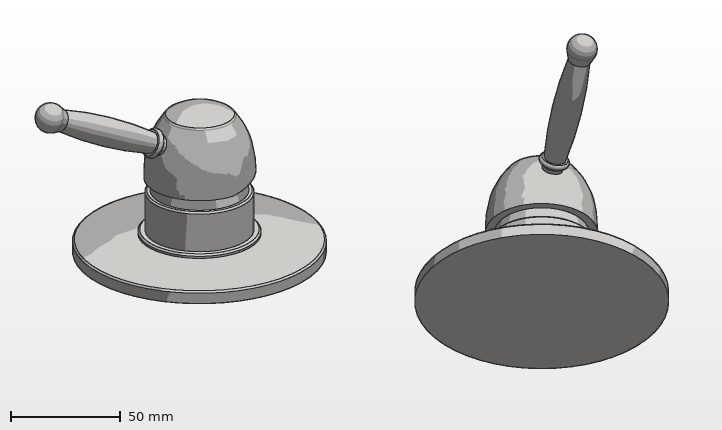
import cadquery as cq
import math

OVERALL_LENGTH = 145.9
OVERALL_HEIGHT = 93.6

PLATE_RADIUS = 116.0 / 2
PLATE_WALL = 5.3
PLATE_RIM_BEVEL = 0.9
PLATE_CROWN = 9.2

FLANGE_RADIUS = 28.2
FLANGE_TOP = 11.1
BODY_RADIUS = 25.0
BODY_TOP = 30.8
EDGE_BEVEL = 0.9

NECK_BASE_RADIUS = 22.6
NECK_TOP_RADIUS = 20.9
NECK_TOP = 42.0

HOOD_OFFSET = 0.3
HOOD_BOTTOM = 36.9
HOOD_RADIUS = 25.7
HOOD_MID_RADIUS = 22.8
HOOD_MID_HEIGHT = 57.2
HOOD_TOP_RADIUS = 16.5
HOOD_TOP = 68.0
HOOD_TOP_LEAN = 0.8
CAP_RADIUS = 15.8
CAP_BASE = 68.9
CAP_CROWN = 73.5

NOTCH_RADIUS = 0.9
NOTCH_DISTANCE = 16.3
NOTCH_FLOOR = 66.8

CUT_START = 1.2
CUT_RISE = 4.8

BALL_RADIUS = 7.0
BALL_REACH = OVERALL_LENGTH - PLATE_RADIUS - BALL_RADIUS
BALL_HEIGHT = OVERALL_HEIGHT - BALL_RADIUS
LEVER_ANGLE = 25.3
BALL_JOINT = 2.0
CUFF_LENGTH = 4.4
GRIP_END_RADIUS = 5.1
GRIP_MID_RADIUS = 6.9
GRIP_LENGTH = 53.7
COLLAR_RADIUS = 7.0
COLLAR_STEM_SIDE_RADIUS = 6.9
COLLAR_GRIP_SIDE_RADIUS = 6.1
COLLAR_WIDTH = 2.2
COLLAR_TAPER = 1.8
STEM_RADIUS = 4.8


def revolve_about_z(outline):
    return outline.close().revolve(360, (0, 0, 0), (0, 1, 0))


def make_plate():
    rim = PLATE_RADIUS - PLATE_RIM_BEVEL
    rim_height = PLATE_WALL + PLATE_RIM_BEVEL
    return revolve_about_z(
        cq.Workplane("XZ")
        .moveTo(0, 0)
        .lineTo(0, PLATE_CROWN)
        .lineTo(FLANGE_RADIUS, PLATE_CROWN)
        .tangentArcPoint((rim, rim_height), relative=False)
        .lineTo(PLATE_RADIUS, PLATE_WALL)
        .lineTo(PLATE_RADIUS, 0)
    )


def make_body():
    flange = cq.Workplane("XY").circle(FLANGE_RADIUS).extrude(FLANGE_TOP)
    cylinder = cq.Workplane("XY").circle(BODY_RADIUS).extrude(BODY_TOP)
    neck = revolve_about_z(
        cq.Workplane("XZ")
        .lineTo(NECK_BASE_RADIUS, 0)
        .lineTo(NECK_BASE_RADIUS, BODY_TOP)
        .lineTo(NECK_TOP_RADIUS, NECK_TOP)
        .lineTo(0, NECK_TOP)
    )
    flange = flange.faces(">Z").edges().chamfer(EDGE_BEVEL)
    cylinder = cylinder.faces(">Z").edges().chamfer(EDGE_BEVEL)
    return flange.union(cylinder).union(neck)


def make_hood():
    cap_rise = CAP_CROWN - CAP_BASE
    cap_sphere = (CAP_RADIUS**2 + cap_rise**2) / (2 * cap_rise)
    half_cap = CAP_RADIUS / 2
    half_height = CAP_CROWN - cap_sphere + math.sqrt(cap_sphere**2 - half_cap**2)
    hood = revolve_about_z(
        cq.Workplane("XZ")
        .moveTo(0, HOOD_BOTTOM)
        .lineTo(HOOD_RADIUS, HOOD_BOTTOM)
        .spline(
            [(HOOD_MID_RADIUS, HOOD_MID_HEIGHT), (HOOD_TOP_RADIUS, HOOD_TOP)],
            tangents=[(0, 1), (-HOOD_TOP_LEAN, 1)],
            includeCurrent=True,
        )
        .lineTo(CAP_RADIUS, CAP_BASE)
        .threePointArc((half_cap, half_height), (0, CAP_CROWN))
    )
    rear_wedge = (
        cq.Workplane("YZ")
        .moveTo(CUT_START, HOOD_BOTTOM)
        .lineTo(HOOD_RADIUS, HOOD_BOTTOM + CUT_RISE)
        .lineTo(HOOD_RADIUS, HOOD_BOTTOM)
        .close()
        .extrude(HOOD_RADIUS, both=True)
    )
    notch = (
        cq.Workplane("XY")
        .workplane(offset=NOTCH_FLOOR)
        .center(0, NOTCH_DISTANCE)
        .circle(NOTCH_RADIUS)
        .extrude(CAP_CROWN - NOTCH_FLOOR)
    )
    return hood.cut(rear_wedge).cut(notch).translate((0, HOOD_OFFSET, 0))


def make_lever():
    """Lever turned along +X from the hood axis, then tilted up toward -Y."""
    ball_centre = BALL_REACH / math.cos(math.radians(LEVER_ANGLE))
    cuff_end = ball_centre - BALL_JOINT
    grip_end = cuff_end - CUFF_LENGTH
    grip_start = grip_end - GRIP_LENGTH
    grip_middle = (grip_start + grip_end) / 2
    collar_start = grip_start - COLLAR_WIDTH
    collar_middle = (collar_start + grip_start) / 2
    stem_end = collar_start - COLLAR_TAPER
    joint_radius = math.sqrt(BALL_RADIUS**2 - BALL_JOINT**2)
    direction = cq.Vector(
        0, -math.cos(math.radians(LEVER_ANGLE)), math.sin(math.radians(LEVER_ANGLE))
    )
    axis_height = BALL_HEIGHT - BALL_REACH * math.tan(math.radians(LEVER_ANGLE))
    lever_plane = cq.Plane(origin=(0, 0, axis_height), xDir=direction, normal=(1, 0, 0))
    return (
        cq.Workplane(lever_plane)
        .lineTo(0, STEM_RADIUS)
        .lineTo(stem_end, STEM_RADIUS)
        .lineTo(collar_start, COLLAR_STEM_SIDE_RADIUS)
        .threePointArc((collar_middle, COLLAR_RADIUS), (grip_start, COLLAR_GRIP_SIDE_RADIUS))
        .lineTo(grip_start, GRIP_END_RADIUS)
        .threePointArc((grip_middle, GRIP_MID_RADIUS), (grip_end, GRIP_END_RADIUS))
        .lineTo(cuff_end, joint_radius)
        .threePointArc((ball_centre, BALL_RADIUS), (ball_centre + BALL_RADIUS, 0))
        .close()
        .revolve(360, (0, 0, 0), (1, 0, 0))
    )


result = make_plate().union(make_body()).union(make_hood()).union(make_lever())